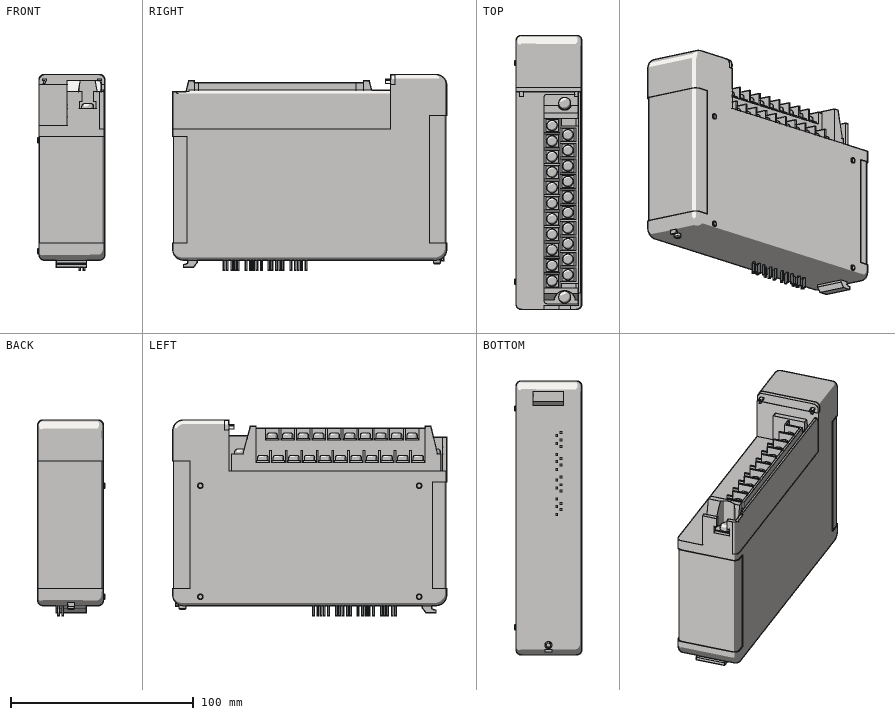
import cadquery as cq

width = 36.1
length = 150.0
height = 101.7
half_length = length / 2
corner_radius = 6.0
edge_radius = 3.0

head_front_y = 44.1
deck_z = 73.6
end_wall_thickness = 2.2
end_wall_top_z = 92.2
side_wall_inner_x = 34.2
side_wall_top_z = 93.1
side_wall_step_y = -66.0
side_wall_seam_z = 71.8
wall_bevel_width = 0.7
wall_bevel_z = 90.6

recess_depth = 0.37
recess_bottom_z = 9.5
front_recess_top_z = 67.6
front_recess_inner_y = -67.2
rear_recess_top_z = 79.2
rear_recess_inner_y = 65.4

small_inset = 0.1
lip_length = 2.4
lip_bottom_z = 96.3
hook_length = 2.7
hook_inset = 2.0

notch_bottom_z = 83.0
notch_neck_z = 87.0
notch_neck_width = 6.1
notch_foot_width = 9.1

block_x0 = 15.5
block_front_y = -71.8
block_rear_y = 42.7
block_corner_radius = 1.5
ledge_z = 83.0
tower_max_x = 33.9
tower_top_z = 98.2
tower_thickness = 3.1
row_front_y = -63.1
row_rear_y = 29.4
front_tower_base_y = -69.9
rear_tower_base_y = 36.6

cell_length = 7.5
divider_thickness = 1.0
terminal_pitch = cell_length + divider_thickness
low_count = 11
low_floor_z = 78.5
low_divider_top_z = 85.0
high_count = low_count - 1
high_floor_z = 90.6
high_top_z = 97.2
high_row_x0 = 24.1
high_row_wall_x = 33.0
end_pocket_wall = 0.9
high_row_shift = 5.1
low_pad_x = 19.8
high_pad_x = 28.5
pad_width = 6.7
pad_thickness = 1.0

terminal_screw_radius = 2.8
mount_screw_radius = 3.3
screw_height = 2.8
screw_flat_radius = 1.5
mount_screw_x = 26.7
front_mount_screw_y = -68.2
rear_mount_screw_y = 37.8
front_groove_y = -70.5
front_groove_radius = 5.8
rear_groove_radius = 3.7

latch_x0 = 9.5
latch_x1 = 26.1
foot_y = 69.6
foot_radius = 2.0
foot_height = 2.1
foot_chamfer = 0.7
rib_y0 = 72.0
rib_y1 = 73.3
rib_bottom_z = -0.3

pin_width = 1.0
pin_length = 5.5
pin_columns_x = (22.3, 24.7)
pin_sets_y = (-2.0, -26.4)
pin_offsets = (0, 2.5, 4.3, 6.0, 8.4, 12.7, 14.4, 16.2, 18.7, 20.4)

stud_radius = 1.5
stud_height = 0.7
stud_chamfer = 0.3
stud_y = 59.8
stud_low_z = 5.0
stud_high_z = 65.7


def box(x0, x1, y0, y1, z0, z1):
    """Box given by its limits along each axis."""
    return cq.Workplane("XY").box(x1 - x0, y1 - y0, z1 - z0, centered=False).translate((x0, y0, z0))


def side_profile(points, x0, x1):
    """Solid between x0 and x1 with the given outline of (y, z) points."""
    return cq.Workplane("YZ").polyline(points).close().extrude(x1 - x0).translate((x0, 0, 0))


def rounded_case(inset):
    """Full-height case block, with every face moved inwards by the inset."""
    block = box(inset, width - inset, inset - half_length, half_length - inset, inset, height - inset)
    block = block.edges("|X").fillet(corner_radius)
    return block.faces("<X or >X").edges().fillet(edge_radius)


def screw_head(x, y, z, radius):
    """Domed screw head with a flat top, standing on height z."""
    head = cq.Workplane("XY").circle(radius).extrude(screw_height)
    return head.faces(">Z").edges().fillet(radius - screw_flat_radius).translate((x, y, z))


def cut_deck(case):
    """Open the space in front of the head, leaving the end wall and the side wall."""
    inner_y = end_wall_thickness - half_length
    case = case.cut(box(0, block_x0, -half_length, head_front_y, deck_z, height))
    case = case.cut(box(block_x0, side_wall_inner_x, inner_y, head_front_y, deck_z, height))
    case = case.cut(box(0, width, -half_length, head_front_y, side_wall_top_z, height))
    case = case.cut(box(0, width, -half_length, side_wall_step_y, end_wall_top_z, height))
    bevel = (
        cq.Workplane("XZ", origin=(0, head_front_y, 0))
        .moveTo(width, wall_bevel_z)
        .lineTo(width, side_wall_top_z)
        .lineTo(width - wall_bevel_width, side_wall_top_z)
        .close()
        .extrude(head_front_y + half_length)
    )
    return case.cut(bevel)


def cut_notch(case):
    """T-shaped screwdriver notch in the end wall."""
    inner_y = end_wall_thickness - half_length
    for notch_width, z0, z1 in (
        (notch_foot_width, notch_bottom_z, notch_neck_z),
        (notch_neck_width, notch_neck_z, end_wall_top_z),
    ):
        x0 = mount_screw_x - notch_width / 2
        case = case.cut(box(x0, x0 + notch_width, -half_length, inner_y, z0, z1))
    return case


def cut_recesses(case):
    """Label recesses round both ends, the inset side wall and the inset lip of the head."""
    label_core = rounded_case(recess_depth)
    front = box(0, width, -half_length, front_recess_inner_y, recess_bottom_z, front_recess_top_z)
    rear = box(0, width, rear_recess_inner_y, half_length, recess_bottom_z, rear_recess_top_z)
    lip = box(0, width, head_front_y, head_front_y + lip_length, lip_bottom_z, height)
    side_x0 = width - edge_radius
    side = box(side_x0, width, -half_length, head_front_y, side_wall_seam_z, side_wall_top_z)
    shallow_core = rounded_case(small_inset)
    lip_core = shallow_core.cut(
        box(0, width, head_front_y, head_front_y + small_inset, lip_bottom_z, height)
    )
    for cutter, core in (
        (front, label_core),
        (rear, label_core),
        (side, shallow_core),
        (lip, lip_core),
    ):
        case = case.cut(cutter.cut(core))
    return case


def door_hook():
    """Hook of the left side: a flat top with a tapering leg."""
    outline = [(0, 99.1), (2.1, 99.1), (2.1, 98.4), (1.2, 96.6), (0.3, 96.6), (1.0, 98.4), (0, 98.4)]
    root_y = head_front_y + lip_length / 2
    hook = cq.Workplane("XZ", origin=(0, root_y, 0)).polyline(outline).close()
    return hook.extrude(hook_length + lip_length / 2).translate((hook_inset, 0, 0))


def latch():
    """Bent latch below the front end."""
    outline = [
        (-61.5, 0), (-61.5, -1.2), (-63.6, -3.9), (-69.1, -3.9),
        (-69.1, -2.2), (-67.8, -2.1), (-66.7, -1.5), (-66.7, 0),
    ]
    return side_profile(outline, latch_x0, latch_x1)


def foot():
    """Chamfered round foot with a rib behind it, below the head."""
    middle_x = (latch_x0 + latch_x1) / 2
    disc = cq.Workplane("XY").circle(foot_radius).extrude(-foot_height)
    disc = disc.faces("<Z").edges().chamfer(foot_chamfer).translate((middle_x, foot_y, 0))
    stem = cq.Workplane("XY").circle(foot_radius).extrude(corner_radius).translate((middle_x, foot_y, 0))
    rib = box(middle_x - foot_radius, middle_x + foot_radius, rib_y0, rib_y1, rib_bottom_z, corner_radius)
    return disc.union(stem).union(rib)


def connector_pins(case):
    """Square contact pins below the case, in two staggered columns."""
    for set_y in pin_sets_y:
        for index, offset in enumerate(pin_offsets):
            x = pin_columns_x[index % 2]
            pin = cq.Workplane("XY").rect(pin_width, pin_width).extrude(-pin_length)
            case = case.union(pin.translate((x, set_y - offset, 0)))
    return case


def build_housing():
    case = rounded_case(0)
    case = cut_deck(case)
    case = cut_notch(case)
    case = cut_recesses(case)
    left_hook = door_hook()
    right_hook = left_hook.mirror("YZ").translate((width, 0, 0))
    case = case.union(left_hook).union(right_hook)
    case = case.union(latch()).union(foot())
    return connector_pins(case)


def tower(row_y, top_y, base_y):
    """Tower with an upright face at row_y and a face sloping from top_y out to base_y."""
    outline = [
        (row_y, deck_z),
        (row_y, tower_top_z),
        (top_y, tower_top_z),
        (base_y, ledge_z),
        (base_y, deck_z),
    ]
    return side_profile(outline, block_x0, tower_max_x)


def block_base():
    """Base with ledges, two sloped towers and the stepped body between them."""
    base = box(block_x0, tower_max_x, block_front_y, block_rear_y, deck_z, ledge_z)
    base = base.edges("|Z and <X").fillet(block_corner_radius)
    front_tower = tower(row_front_y, row_front_y - tower_thickness, front_tower_base_y)
    rear_tower = tower(row_rear_y, row_rear_y + tower_thickness, rear_tower_base_y)
    upper_body = box(high_row_x0, side_wall_inner_x, row_front_y, row_rear_y, deck_z, high_top_z)
    clearance = box(block_x0, high_row_x0, row_front_y, row_rear_y, low_floor_z, ledge_z)
    return base.union(front_tower).union(rear_tower).cut(clearance).union(upper_body)


def cut_grooves(block):
    """Upright grooves that let a screwdriver reach the mounting screws."""
    for y, radius in (
        (front_groove_y, front_groove_radius),
        (rear_mount_screw_y, rear_groove_radius),
    ):
        groove = cq.Workplane("XY").circle(radius).extrude(tower_top_z - ledge_z)
        block = block.cut(groove.translate((mount_screw_x, y, ledge_z)))
    return block


def terminal(pad_x, y, floor_z):
    """Square contact pad with its clamping screw."""
    pad = cq.Workplane("XY").rect(pad_width, pad_width).extrude(pad_thickness)
    pad = pad.translate((pad_x, y, floor_z))
    return pad.union(screw_head(pad_x, y, floor_z + pad_thickness, terminal_screw_radius))


def add_low_row(block):
    """Lower row: open cells parted by upright dividers."""
    for index in range(low_count):
        cell_rear_y = row_rear_y - index * terminal_pitch
        block = block.union(terminal(low_pad_x, cell_rear_y - cell_length / 2, low_floor_z))
        if index < low_count - 1:
            y1 = cell_rear_y - cell_length
            y0 = y1 - divider_thickness
            block = block.union(box(block_x0, high_row_x0, y0, y1, low_floor_z, low_divider_top_z))
    return block


def add_high_row(block):
    """Upper row: cells open towards the lower row, with a pocket at each end."""
    first_y = row_rear_y - cell_length / 2 - high_row_shift
    for index in range(high_count):
        y = first_y - index * terminal_pitch
        y0 = y - cell_length / 2
        block = block.cut(box(high_row_x0, high_row_wall_x, y0, y0 + cell_length, high_floor_z, high_top_z))
        block = block.union(terminal(high_pad_x, y, high_floor_z))
    row_end_gap = cell_length / 2 + divider_thickness
    last_y = first_y - (high_count - 1) * terminal_pitch
    pocket_x0 = high_row_x0 + end_pocket_wall
    for y0, y1 in ((first_y + row_end_gap, row_rear_y), (row_front_y, last_y - row_end_gap)):
        block = block.cut(box(pocket_x0, high_row_wall_x, y0, y1, high_floor_z, high_top_z))
        block = block.cut(box(high_row_wall_x, side_wall_inner_x, y0, y1, side_wall_top_z, high_top_z))
    return block


def build_terminal_block():
    block = cut_grooves(block_base())
    block = add_high_row(add_low_row(block))
    for y in (front_mount_screw_y, rear_mount_screw_y):
        block = block.union(screw_head(mount_screw_x, y, ledge_z, mount_screw_radius))
    return block


def build_stud(y, z):
    """Flat round stud on the X = 0 side face."""
    stud = cq.Workplane("YZ").circle(stud_radius).extrude(-stud_height)
    return stud.faces("<X").edges().chamfer(stud_chamfer).translate((0, y, z))


housing = build_housing()
terminal_block = build_terminal_block()
studs = [build_stud(y, z) for y in (-stud_y, stud_y) for z in (stud_low_z, stud_high_z)]

result = cq.Compound.makeCompound(
    [housing.solids().val(), terminal_block.solids().val(), *[stud.solids().val() for stud in studs]]
)